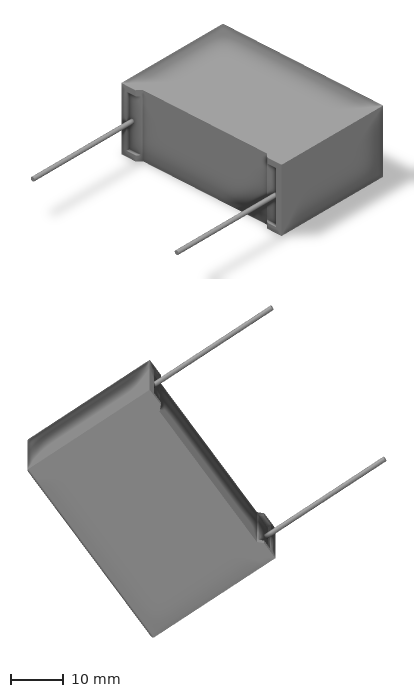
import cadquery as cq

case_width = 41.8
case_height = 16.2
overall_length = 55.6
lead_length = 26.95
case_length = overall_length - lead_length
back_radius = 0.5

foot_width = 3.7
foot_height = 1.0

pocket_wall = 1.4
pocket_depth = 0.8
pocket_width = foot_width + foot_height - pocket_wall
pocket_height = case_height - 2 * pocket_wall

lead_diameter = 1.0
lead_pitch = 37.55

half_width = case_width / 2
sides = (-1, 1)


def make_case_block():
    """Case with two feet, rounded around its +Y face."""
    relief_edge = half_width - foot_width
    flank_end = relief_edge - foot_height
    outline = [
        (-half_width, 0),
        (-relief_edge, 0),
        (-flank_end, foot_height),
        (flank_end, foot_height),
        (relief_edge, 0),
        (half_width, 0),
        (half_width, case_length),
        (-half_width, case_length),
    ]
    block = cq.Workplane("XY").polyline(outline).close().extrude(case_height / 2, both=True)
    return block.faces(">Y").fillet(back_radius)


def make_pocket(side):
    """Rectangular cutter that is open on the foot and on the flank beside it."""
    pocket_centre = side * (half_width - pocket_wall - pocket_width / 2)
    return (
        cq.Workplane("XY")
        .box(pocket_width, pocket_depth, pocket_height)
        .translate((pocket_centre, pocket_depth / 2, 0))
    )


def make_housing():
    housing = make_case_block()
    for side in sides:
        housing = housing.cut(make_pocket(side))
    return housing


def make_lead(side):
    """Straight lead from the pocket floor to its free end."""
    return (
        cq.Workplane("XZ", origin=(side * lead_pitch / 2, pocket_depth, 0))
        .circle(lead_diameter / 2)
        .extrude(pocket_depth + lead_length)
    )


housing = make_housing()
leads = [make_lead(side) for side in sides]

result = cq.Compound.makeCompound([housing.val(), *[lead.val() for lead in leads]])